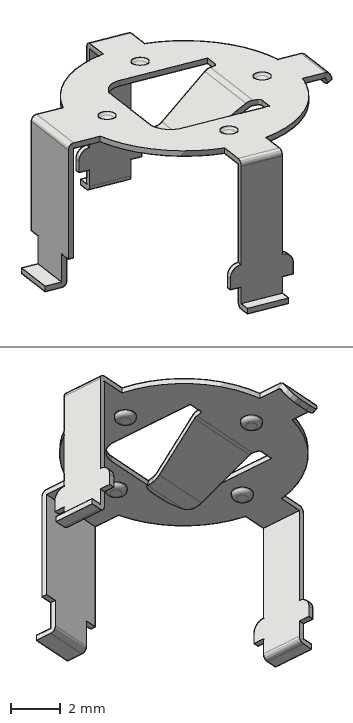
import cadquery as cq
import math

overall_x = 13.5
overall_height = 6.66
leg_span = 12.5
leg_out = leg_span / 2

dimple_depth = 0.5
dimple_pitch_radius = 3.6
boss_radius = 0.45
boss_rounding = 0.2
recess_radius = 0.36
recess_floor_radius = 0.25

sheet = dimple_depth / 2
plate_bottom = overall_height - sheet

plate_radius = 5.0
window_size = 5.0
window_corner = 0.95

leg_width = 1.92
ear_reach = 0.5
ear_bottom = 0.99
ear_top = 2.0
front_leg_width = 3.0
front_leg_step = 1.5
side_foot_end = overall_x / 2
front_foot_end = 7.01

tab_width = 2.0
tab_bend_start = 5.96
tab_angle = math.radians(60)
tab_length = 0.65
tab_corner = 0.75

tongue_bend_start = 2.18
tongue_bend_radius = 0.5
tongue_angle = math.radians(35)
tongue_length = 2.7
tip_angle = math.radians(30)
tip_length = 0.49
tongue_root_width = 3.55
tongue_tip_width = 2.16
tongue_root_fillet = 0.15
tip_corner = 0.95


def polar(center, radius, angle):
    """Point at a radius and angle from a center."""
    return (center[0] + radius * math.cos(angle), center[1] + radius * math.sin(angle))


def across(width, bottom, top):
    """Block of a given width across Y, standing between two heights."""
    return (
        cq.Workplane("XY", origin=(0, 0, bottom))
        .rect(2 * overall_x, width)
        .extrude(top - bottom)
    )


def bent_strip(foot_end):
    """Wide sheet running out along +X, down as a leg and out again as a foot."""
    leg_in = leg_out - sheet
    bend_offset = sheet * math.cos(math.radians(45))
    return (
        cq.Workplane("XZ")
        .moveTo(window_size / 2, overall_height)
        .lineTo(leg_in, overall_height)
        .threePointArc((leg_in + bend_offset, plate_bottom + bend_offset), (leg_out, plate_bottom))
        .lineTo(leg_out, sheet)
        .lineTo(foot_end, sheet)
        .lineTo(foot_end, 0)
        .lineTo(leg_out, 0)
        .threePointArc((leg_out - bend_offset, sheet - bend_offset), (leg_in, sheet))
        .lineTo(leg_in, plate_bottom)
        .lineTo(window_size / 2, plate_bottom)
        .close()
        .extrude(front_leg_width, both=True)
    )


def side_leg():
    """Leg on +X with a round-shouldered ear on each edge."""
    ears = across(leg_width + 2 * ear_reach, ear_bottom, ear_top)
    ears = ears.edges("|X and >Z").fillet(ear_reach)
    return bent_strip(side_foot_end).intersect(across(leg_width, 0, overall_height).union(ears))


def front_leg():
    """Leg on -Y, stepped to a narrower foot."""
    outline = across(leg_width, 0, overall_height).union(
        across(front_leg_width, front_leg_step, overall_height)
    )
    return bent_strip(front_foot_end).intersect(outline).rotate((0, 0, 0), (0, 0, 1), -90)


def rear_tab():
    """Tab on +Y, bent down about the lower plate edge, with a rounded end."""
    pivot = (tab_bend_start, plate_bottom)
    normal = math.pi / 2 - tab_angle
    bend_end = polar(pivot, sheet, normal)
    tab = (
        cq.Workplane("YZ")
        .moveTo(window_size / 2, overall_height)
        .lineTo(tab_bend_start, overall_height)
        .threePointArc(polar(pivot, sheet, (normal + math.pi / 2) / 2), bend_end)
        .lineTo(*polar(bend_end, tab_length, -tab_angle))
        .lineTo(*polar(pivot, tab_length, -tab_angle))
        .lineTo(*pivot)
        .lineTo(window_size / 2, plate_bottom)
        .close()
        .extrude(tab_width / 2, both=True)
    )
    return tab.faces(">Y").edges("not(|X)").fillet(tab_corner)


def tongue():
    """Tapered tongue sloping down into the window, with an upturned round tip."""
    up = math.pi / 2
    small = tongue_bend_radius - sheet
    large = tongue_bend_radius + sheet

    root_center = (tongue_bend_start, overall_height - tongue_bend_radius)
    slope_normal = up + tongue_angle
    slope_start = polar(root_center, tongue_bend_radius, slope_normal)
    slope_end = polar(slope_start, tongue_length, math.pi + tongue_angle)
    tip_center = polar(slope_end, tongue_bend_radius, slope_normal)
    valley = -up + (tongue_angle - tip_angle) / 2
    tip_normal = -up - tip_angle
    tip_direction = math.pi - tip_angle
    tip_start_top = polar(tip_center, tongue_bend_radius, tip_normal)
    tip_start_bottom = polar(tip_center, large, tip_normal)

    profile = (
        cq.Workplane("YZ")
        .moveTo(window_size / 2, overall_height)
        .lineTo(tongue_bend_start, overall_height)
        .threePointArc(polar(root_center, tongue_bend_radius, up + tongue_angle / 2), slope_start)
        .lineTo(*slope_end)
        .threePointArc(polar(tip_center, tongue_bend_radius, valley), tip_start_top)
        .lineTo(*polar(tip_start_top, tip_length, tip_direction))
        .lineTo(*polar(tip_start_bottom, tip_length, tip_direction))
        .lineTo(*tip_start_bottom)
        .threePointArc(
            polar(tip_center, large, valley),
            polar(tip_center, large, tongue_angle - up),
        )
        .lineTo(*polar(root_center, small, slope_normal))
        .threePointArc(
            polar(root_center, small, up + tongue_angle / 2),
            polar(root_center, small, up),
        )
        .lineTo(window_size / 2, plate_bottom)
        .close()
        .extrude(tongue_root_width, both=True)
    )
    tip_y = profile.val().BoundingBox().ymin
    taper = (
        cq.Workplane("XY")
        .moveTo(-tongue_root_width / 2, window_size / 2)
        .lineTo(tongue_root_width / 2, window_size / 2)
        .lineTo(tongue_tip_width / 2, tip_y)
        .lineTo(-tongue_tip_width / 2, tip_y)
        .close()
        .extrude(overall_height)
    )
    return profile.intersect(taper).faces("<Y").edges("not(|X)").fillet(tip_corner)


def plate():
    """Round plate with a square window whose two front corners are rounded."""
    window = (
        cq.Workplane("XY", origin=(0, 0, plate_bottom))
        .rect(window_size, window_size)
        .extrude(sheet)
        .edges("|Z and <Y")
        .fillet(window_corner)
    )
    disc = cq.Workplane("XY", origin=(0, 0, plate_bottom)).circle(plate_radius).extrude(sheet)
    return disc.cut(window)


def dimple_boss():
    """Round-edged boss under the plate, on the dimple axis."""
    boss = cq.Workplane("XY", origin=(0, 0, overall_height - dimple_depth))
    return boss.circle(boss_radius).extrude(dimple_depth).faces("<Z").edges().fillet(boss_rounding)


def dimple_recess():
    """Flat-floored recess in the plate top, with a quarter-round wall."""
    depth = recess_radius - recess_floor_radius
    recess = cq.Workplane("XY", origin=(0, 0, overall_height - depth))
    return recess.circle(recess_radius).extrude(2 * depth).faces("<Z").edges().fillet(depth)


body = plate().union(front_leg()).union(rear_tab())
for turn in (0, 180):
    body = body.union(side_leg().rotate((0, 0, 0), (0, 0, 1), turn))

body = body.union(tongue())
for side in (-1, 1):
    root = (side * tongue_root_width / 2, window_size / 2, overall_height - sheet / 2)
    body = body.edges(cq.selectors.NearestToPointSelector(root)).fillet(tongue_root_fillet)

for turn in (0, 90, 180, 270):
    position = (*polar((0, 0), dimple_pitch_radius, math.radians(turn)), 0)
    body = body.union(dimple_boss().translate(position))
    body = body.cut(dimple_recess().translate(position))

result = body